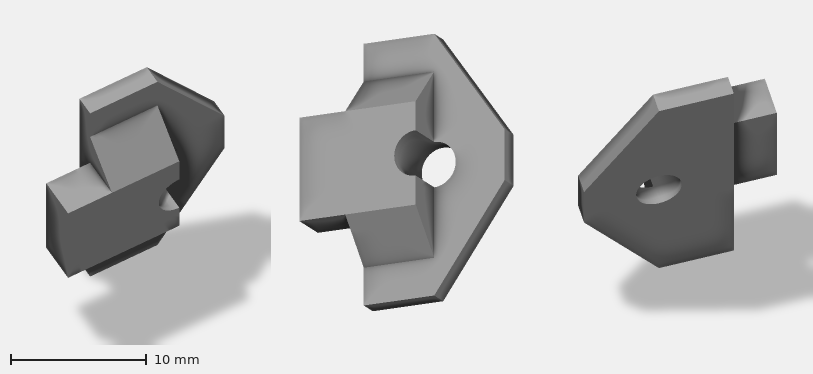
import cadquery as cq

plate_height = 20.25
plate_thickness = 1.55
plate_depth = 11.5
shoulder_y = plate_depth / 2
tip_height = 3.93

total_thickness = 4.75
block_height = 8.0
block_overhang = 3.75
rise = total_thickness - plate_thickness
ramp_base_height = block_height + 2 * rise

hole_diameter = 3.5


def make_plate():
    outline = [
        (0, -plate_height / 2),
        (shoulder_y, -plate_height / 2),
        (plate_depth, -tip_height / 2),
        (plate_depth, tip_height / 2),
        (shoulder_y, plate_height / 2),
        (0, plate_height / 2),
    ]
    return cq.Workplane("YZ").polyline(outline).close().extrude(plate_thickness)


def make_ramps():
    """Trapezoidal support from the straight edge to the shoulder."""
    outline = [
        (plate_thickness, -ramp_base_height / 2),
        (total_thickness, -block_height / 2),
        (total_thickness, block_height / 2),
        (plate_thickness, ramp_base_height / 2),
    ]
    return cq.Workplane("XZ").polyline(outline).close().extrude(-shoulder_y)


def make_block():
    return (
        cq.Workplane("XY")
        .box(rise, block_overhang, block_height, centered=(False, False, True))
        .translate((plate_thickness, -block_overhang, 0))
    )


def make_hole():
    """Through hole along X, centred on the shoulder line."""
    return (
        cq.Workplane("YZ")
        .center(shoulder_y, 0)
        .circle(hole_diameter / 2)
        .extrude(total_thickness)
    )


result = make_plate().union(make_ramps()).union(make_block()).cut(make_hole())